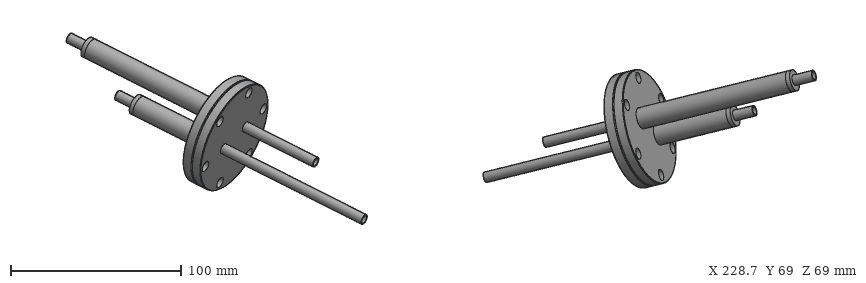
import cadquery as cq
import math

FLANGE_DIAMETER = 69.0
FLANGE_THICKNESS = 12.8
RIM_CHAMFER = 0.5
GROOVE_WIDTH = 1.0
GROOVE_DEPTH = 0.2
BOLT_COUNT = 6
BOLT_HOLE_DIAMETER = 6.6
BOLT_CIRCLE_DIAMETER = 58.8

LINE_SPACING = 22.2
TUBE_DIAMETER = 6.5
TUBE_BORE = 4.8
TUBE_LENGTH = 177.9
TUBE_STICKOUT = 12.8
SLEEVE_DIAMETER = 12.8
END_RING_LENGTH = 2.7
LONG_REACH = 101.5
SHORT_REACH = LONG_REACH / 2

LINES = [(LINE_SPACING / 2, LONG_REACH), (-LINE_SPACING / 2, SHORT_REACH)]


def rod(x_start, length, diameter, y=0, z=0):
    """Solid round bar along +X."""
    plane = cq.Workplane("YZ", origin=(x_start, y, z))
    return plane.circle(diameter / 2).extrude(length)


def pipe(x_start, length, outer_diameter, bore, y):
    """Round bar along +X with a bore through it."""
    plane = cq.Workplane("YZ", origin=(x_start, y, 0))
    return plane.circle(outer_diameter / 2).circle(bore / 2).extrude(length)


def make_rim_groove():
    """Ring of material removed around the middle of the flange rim."""
    x_start = (FLANGE_THICKNESS - GROOVE_WIDTH) / 2
    groove_floor = FLANGE_DIAMETER - 2 * GROOVE_DEPTH
    return pipe(x_start, GROOVE_WIDTH, FLANGE_DIAMETER, groove_floor, 0)


def make_flange():
    flange = rod(0, FLANGE_THICKNESS, FLANGE_DIAMETER)
    flange = flange.edges().chamfer(RIM_CHAMFER)
    flange = flange.cut(make_rim_groove())
    for i in range(BOLT_COUNT):
        angle = math.radians(i * 360 / BOLT_COUNT)
        y = BOLT_CIRCLE_DIAMETER / 2 * math.cos(angle)
        z = BOLT_CIRCLE_DIAMETER / 2 * math.sin(angle)
        flange = flange.cut(rod(0, FLANGE_THICKNESS, BOLT_HOLE_DIAMETER, y, z))
    for y, reach in LINES:
        flange = flange.cut(rod(0, FLANGE_THICKNESS, TUBE_DIAMETER, y))
    return flange


def make_end_ring(y, reach):
    return pipe(-reach, END_RING_LENGTH, SLEEVE_DIAMETER, TUBE_DIAMETER, y)


def make_sleeve(y, reach):
    sleeve_length = reach - END_RING_LENGTH
    return pipe(-sleeve_length, sleeve_length, SLEEVE_DIAMETER, TUBE_DIAMETER, y)


def make_tube(y, reach):
    return pipe(-reach - TUBE_STICKOUT, TUBE_LENGTH, TUBE_DIAMETER, TUBE_BORE, y)


flange = make_flange()
bodies = [flange.val()]
for y, reach in LINES:
    bodies.append(make_end_ring(y, reach).val())
    bodies.append(make_sleeve(y, reach).val())
    bodies.append(make_tube(y, reach).val())

result = cq.Compound.makeCompound(bodies)